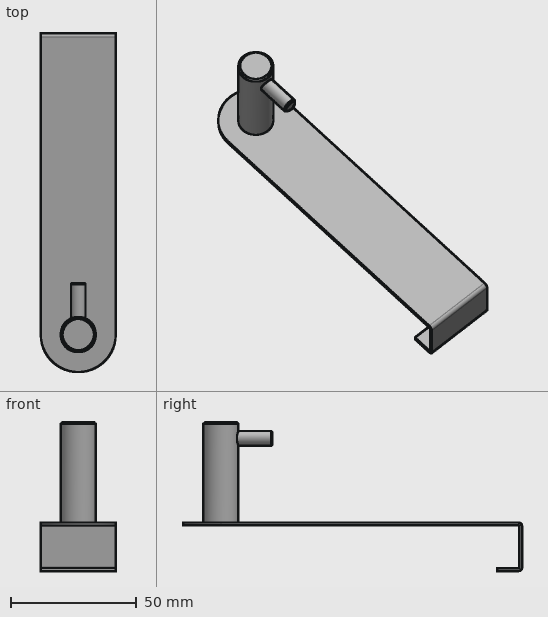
import cadquery as cq

length = 135.0
width = 30.0
thickness = 1.2
hook_drop = 19.5
lip_length = 10.0
bend_radius = 1.6
inner_bend_radius = bend_radius - thickness

post_diameter = 14.0
overall_height = 59.4
post_height = overall_height - hook_drop
post_chamfer = 0.8

peg_diameter = 6.0
peg_reach = 20.5
peg_drop = 6.5
peg_chamfer = 0.5

end_radius = width / 2
back_y = length - end_radius


def make_strap():
    """Fold a constant-thickness strip and round its front end."""
    profile = (
        cq.Workplane("YZ")
        .moveTo(-end_radius, 0)
        .lineTo(back_y, 0)
        .lineTo(back_y, -hook_drop)
        .lineTo(back_y - lip_length, -hook_drop)
        .lineTo(back_y - lip_length, thickness - hook_drop)
        .lineTo(back_y - thickness, thickness - hook_drop)
        .lineTo(back_y - thickness, -thickness)
        .lineTo(-end_radius, -thickness)
        .close()
        .extrude(end_radius, both=True)
    )
    outer_bends = cq.selectors.BoxSelector(
        (-width, back_y - thickness / 2, -2 * hook_drop),
        (width, back_y + thickness / 2, hook_drop),
    )
    inner_bends = cq.selectors.BoxSelector(
        (-width, back_y - 1.5 * thickness, -2 * hook_drop),
        (width, back_y - thickness / 2, hook_drop),
    )
    strap = profile.edges("|X").edges(outer_bends).fillet(bend_radius)
    strap = strap.edges("|X").edges(inner_bends).fillet(inner_bend_radius)
    return strap.intersect(make_plan_outline())


def make_plan_outline():
    """Tall prism with the strap's outline from above: straight sides, round front end."""
    return (
        cq.Workplane("XY")
        .moveTo(-end_radius, back_y)
        .lineTo(-end_radius, 0)
        .threePointArc((0, -end_radius), (end_radius, 0))
        .lineTo(end_radius, back_y)
        .close()
        .extrude(-hook_drop)
    )


def make_post():
    """Cylinder standing on the strap, chamfered at the top."""
    return (
        cq.Workplane("XY")
        .workplane(offset=-thickness / 2)
        .circle(post_diameter / 2)
        .extrude(post_height + thickness / 2)
        .faces(">Z")
        .chamfer(post_chamfer)
    )


def make_peg():
    """Horizontal pin from the post axis towards the hook, chamfered at its tip."""
    return (
        cq.Workplane("XZ")
        .center(0, post_height - peg_drop)
        .circle(peg_diameter / 2)
        .extrude(-peg_reach)
        .faces(">Y")
        .chamfer(peg_chamfer)
    )


result = make_strap().union(make_post()).union(make_peg())